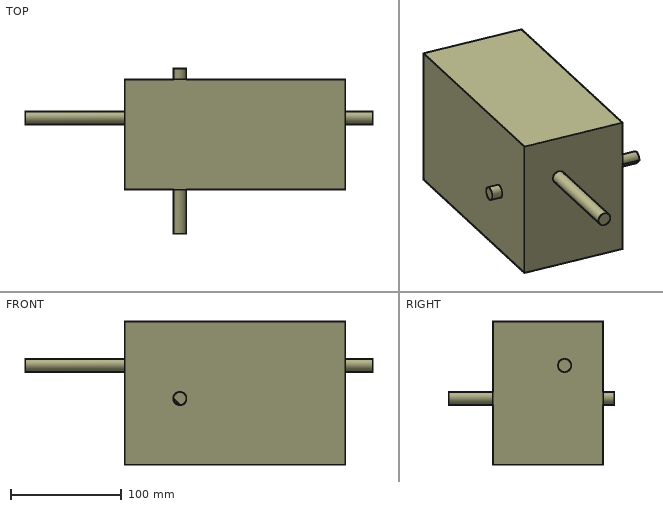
import cadquery as cq

housing_length = 200.0
housing_depth = 100.0
housing_height = 130.0

shaft_diameter = 12.0
shaft_radius = shaft_diameter / 2

long_shaft_left_reach = 90.0
long_shaft_right_reach = 25.0
long_shaft_y = housing_depth - 35.0
long_shaft_z = housing_height - 40.0

cross_shaft_front_reach = 40.0
cross_shaft_back_reach = 10.0
cross_shaft_x = 50.0
cross_shaft_z = 60.2

flat_length = 20.2
flat_offset = 4.0
flat_angle = 45


def make_housing():
    return cq.Workplane("XY").box(
        housing_length, housing_depth, housing_height, centered=False
    )


def make_long_shaft():
    length = long_shaft_left_reach + housing_length + long_shaft_right_reach
    return (
        cq.Workplane("YZ", origin=(-long_shaft_left_reach, long_shaft_y, long_shaft_z))
        .circle(shaft_radius)
        .extrude(length)
    )


def make_cross_shaft():
    length = cross_shaft_front_reach + housing_depth + cross_shaft_back_reach
    front_end = cq.Workplane(
        "XZ", origin=(cross_shaft_x, -cross_shaft_front_reach, cross_shaft_z)
    )
    shaft = front_end.circle(shaft_radius).extrude(-length)
    flat_cut = (
        front_end.transformed(rotate=(0, 0, flat_angle))
        .center(-flat_offset - shaft_diameter / 2, 0)
        .rect(shaft_diameter, 2 * shaft_diameter)
        .extrude(-flat_length)
    )
    return shaft.cut(flat_cut)


result = make_housing().union(make_long_shaft()).union(make_cross_shaft())